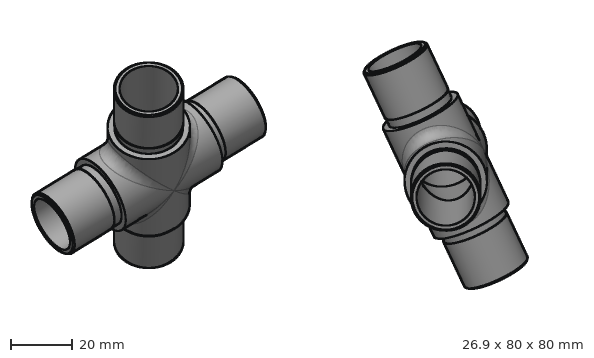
import cadquery as cq

span = 80.0
hub_length = 40.0
hub_diameter = 26.9
neck_diameter = 22.4
neck_length = 3.0
spigot_diameter = 22.8
spigot_chamfer = 0.5
bore_diameter = 19.0
valley_fillet = 4.0

neck_span = hub_length + 2 * neck_length


def along_y(body):
    """Turn a body built along Z so that it lies along Y."""
    return body.rotate((0, 0, 0), (1, 0, 0), 90)


def centred_cylinder(diameter, length):
    """Cylinder along Z, centred on the origin."""
    return cq.Workplane("XY").circle(diameter / 2).extrude(length / 2, both=True)


def make_hub():
    """Crossed hub cylinders with the four valleys between them filleted."""
    upright = centred_cylinder(hub_diameter, hub_length)
    crossed = upright.union(along_y(upright))
    return crossed.edges("%ELLIPSE").fillet(valley_fillet)


def make_arm_pair():
    """Two opposite arms along Z: a neck, then a spigot chamfered at its open end."""
    necks = centred_cylinder(neck_diameter, neck_span)
    spigots = centred_cylinder(spigot_diameter, span).faces("<Z or >Z").chamfer(spigot_chamfer)
    spigots = spigots.cut(centred_cylinder(hub_diameter, neck_span))
    return spigots.union(necks)


hub = make_hub()
arms = make_arm_pair()
bore = centred_cylinder(bore_diameter, span)

body = hub.union(arms).union(along_y(arms))
result = body.cut(bore).cut(along_y(bore))